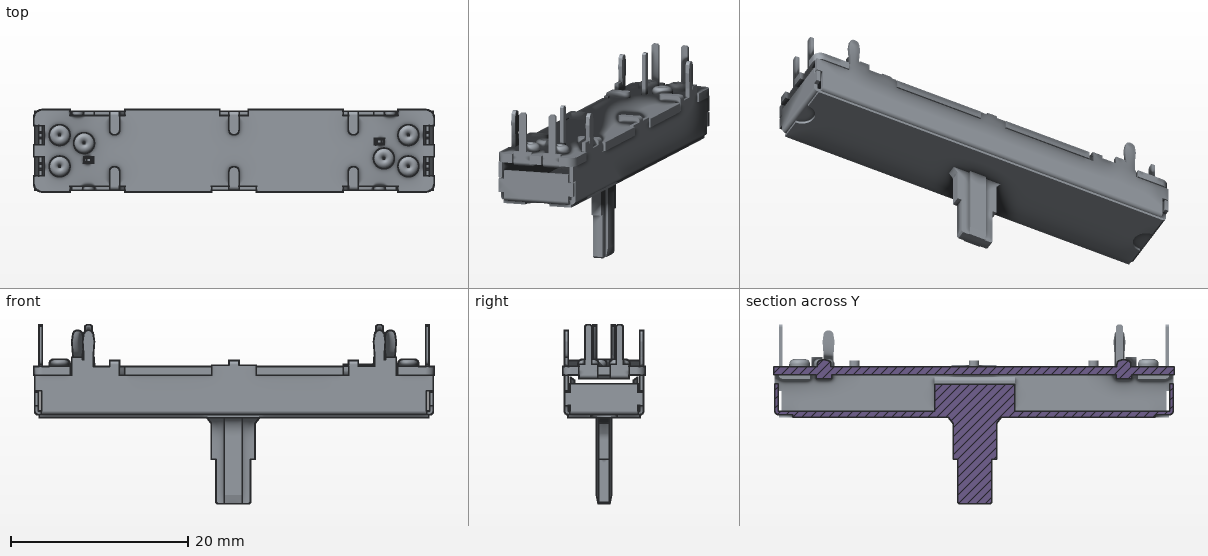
import cadquery as cq

BOARD_LENGTH = 45.2
BOARD_WIDTH = 9.3
BOARD_THICKNESS = 1.0
BOARD_CORNER_RADIUS = 1.0
EDGE_NOTCH_DEPTH = 0.7
END_NOTCH_DEPTH = 1.18

SHEET = 0.45
HOUSING_LENGTH = 44.97
HOUSING_WIDTH = 8.95
HOUSING_BOTTOM = -5.45
HOUSING_BEND_RADIUS = 0.45
END_WALL_TOP = -1.95
END_WALL_WIDTH = 7.7
EAR_TOP = -2.9
EAR_BOTTOM = -4.45
CORNER_NOTCH_TOP = -2.75
CORNER_NOTCH_LENGTH = 0.75
BOTTOM_PLATE_LENGTH = 44.0
BOTTOM_PLATE_WIDTH = 8.15
BOTTOM_PLATE_THICKNESS = 0.3
BOTTOM_PLATE_NOTCH_RADIUS = 1.5

OUTER_CREST = (12.93, 18.3)
OUTER_NOTCH = (12.3, 18.5)
MIDDLE_CREST_TOP = 0.15
RAISED_CREST = (OUTER_NOTCH[0], 16.25)
RAISED_CREST_TOP = 0.23
FRONT_MIDDLE_WIDTH = 5.05
BACK_MIDDLE_WIDTH = 3.15
TAB_WIDTH = 1.15
TAB_TOP = 0.7
TAB_REACH = 1.8
TAB_BEND_RADIUS = 0.45
TAB_END_RADIUS = 0.5
OUTER_TAB_X = 13.45

FOOT_TOP = 4.05
FOOT_WIDTH = 1.35
FOOT_WIDEST = 2.8
NECK_WIDTH = 1.1
CROWN_WIDTH = 1.1
CROWN_BOTTOM = 3.7
SHOULDER_TOP = 1.05
SHOULDER_RELIEF = 0.15
SHOULDER_RELIEF_BOTTOM = 0.72
FRONT_FOOT_X = 16.4
BACK_FOOT_X = 17.65
SHOULDER_ENDS = (15.77, 18.3)

TERMINAL_THICKNESS = 0.4
TERMINAL_Y = 1.75
TERMINAL_BASE_WIDTH = 2.12
TERMINAL_BASE_TOP = 0.23
TERMINAL_FACE_X = 22.0
PIN_WIDTH = 0.8
PIN_TOP = 4.7
PIN_TIP_CHAMFER = 0.2
INNER_PIN_X = 16.4
INNER_PIN_Y = 1.05
INNER_PIN_SLOT = (1.15, 0.72)
INNER_PLATE_WIDTH = 1.8
RIVET_RADIUS = 1.18
RIVET_RIM = 0.25
RIVET_HOLE_RADIUS = 0.1
OUTER_RIVET_X = 19.65
INNER_RIVET_X = 16.9
INNER_RIVET_Y = 0.85

LEVER_X = -0.1
LEVER_BOTTOM = -15.5
LEVER_STEP = -10.5
LEVER_UPPER_WIDTH = 4.95
LEVER_LOWER_WIDTH = 3.95
LEVER_FLARE_WIDTH = 5.95
LEVER_FLARE_BOTTOM = -6.4
LEVER_THICKNESS = 1.15
LEVER_END_CHAMFER = 0.2
RIB_WIDTH = 2.05
RIB_THICKNESS = 1.7
RIB_TAPER_START = -14.5
RIB_END_THICKNESS = 1.3
CARRIAGE_LENGTH = 9.05
CARRIAGE_WIDTH = 7.6
CARRIAGE_TOP = -2.0
CARRIAGE_EAR_TOP = -1.2
CARRIAGE_EAR_WIDTH = 0.5
CARRIAGE_EAR_SLOPE = 0.35

BOARD_BOTTOM = -BOARD_THICKNESS
PLATE_BOTTOM = HOUSING_BOTTOM - BOTTOM_PLATE_THICKNESS
FLOOR_TOP = HOUSING_BOTTOM + SHEET
WALL_Y = HOUSING_WIDTH / 2
END_X = HOUSING_LENGTH / 2


def block(x_range, y_range, z_range):
    """Box spanning the given ranges; the ends of each range may come in either order."""
    spans = [sorted(values) for values in (x_range, y_range, z_range)]
    size = [high - low for low, high in spans]
    corner = [low for low, high in spans]
    return cq.Workplane("XY").box(*size, centered=False).translate(tuple(corner))


def centered_block(length, width, z_range):
    return block((-length / 2, length / 2), (-width / 2, width / 2), z_range)


def mirror_range(values, side):
    return tuple(side * value for value in values)


def wall_range(side):
    """Y range of the sheet in the long wall on the given side."""
    return (side * (WALL_Y - SHEET), side * WALL_Y)


def make_board():
    board = centered_block(BOARD_LENGTH, BOARD_WIDTH, (BOARD_BOTTOM, 0))
    board = board.edges("|Z").fillet(BOARD_CORNER_RADIUS)
    depth = (BOARD_BOTTOM, 0)
    for side in (-1, 1):
        notch_y = (side * (BOARD_WIDTH / 2 - EDGE_NOTCH_DEPTH), side * BOARD_WIDTH / 2)
        middle = (FRONT_MIDDLE_WIDTH if side < 0 else BACK_MIDDLE_WIDTH) / 2
        board = board.cut(block((-middle, middle), notch_y, depth))
        for end in (-1, 1):
            board = board.cut(block(mirror_range(OUTER_NOTCH, end), notch_y, depth))
            notch_x = (end * (BOARD_LENGTH / 2 - END_NOTCH_DEPTH), end * BOARD_LENGTH / 2)
            base = TERMINAL_BASE_WIDTH / 2
            terminal_y = (side * TERMINAL_Y - base, side * TERMINAL_Y + base)
            board = board.cut(block(notch_x, terminal_y, depth))
    for end in (-1, 1):
        slot = cq.Workplane("XY").rect(*INNER_PIN_SLOT).extrude(BOARD_BOTTOM)
        board = board.cut(slot.translate((end * INNER_PIN_X, end * INNER_PIN_Y, 0)))
    return board


def make_housing():
    housing = centered_block(HOUSING_LENGTH, HOUSING_WIDTH, (HOUSING_BOTTOM, BOARD_BOTTOM))
    housing = housing.faces("<Z").edges().fillet(HOUSING_BEND_RADIUS)
    cavity_length = HOUSING_LENGTH - 2 * SHEET
    cavity_width = HOUSING_WIDTH - 2 * SHEET
    housing = housing.cut(centered_block(cavity_length, cavity_width, (FLOOR_TOP, BOARD_BOTTOM)))
    housing = housing.cut(centered_block(HOUSING_LENGTH, cavity_width, (END_WALL_TOP, BOARD_BOTTOM)))
    for end in (-1, 1):
        wall_x = (end * (END_X - SHEET), end * END_X)
        notch_x = (end * (END_X - CORNER_NOTCH_LENGTH), end * END_X)
        for side in (-1, 1):
            gap_y = (side * END_WALL_WIDTH / 2, side * (WALL_Y - SHEET))
            housing = housing.cut(block(wall_x, gap_y, (HOUSING_BOTTOM, BOARD_BOTTOM)))
            notch_y = (side * END_WALL_WIDTH / 2, side * WALL_Y)
            housing = housing.cut(block(notch_x, notch_y, (HOUSING_BOTTOM, CORNER_NOTCH_TOP)))
        housing = housing.union(block(wall_x, (-WALL_Y, WALL_Y), (EAR_BOTTOM, EAR_TOP)))
    plate = centered_block(BOTTOM_PLATE_LENGTH, BOTTOM_PLATE_WIDTH, (PLATE_BOTTOM, HOUSING_BOTTOM))
    end_notches = (
        cq.Workplane("XY")
        .workplane(offset=PLATE_BOTTOM)
        .pushPoints([(-BOTTOM_PLATE_LENGTH / 2, 0), (BOTTOM_PLATE_LENGTH / 2, 0)])
        .circle(BOTTOM_PLATE_NOTCH_RADIUS)
        .extrude(BOTTOM_PLATE_THICKNESS)
    )
    return housing.union(plate.cut(end_notches))


def make_tab(x, side):
    """Tab rising from a wall crest and folded inward onto the board, with a round end."""
    length = WALL_Y - TAB_REACH
    tab = (
        cq.Workplane("XY")
        .rect(TAB_WIDTH, length)
        .extrude(TAB_TOP)
        .edges("|Z and >Y")
        .fillet(TAB_END_RADIUS)
        .faces("<Y")
        .edges(">Z")
        .fillet(TAB_BEND_RADIUS)
        .translate((0, length / 2 - WALL_Y, 0))
    )
    if side > 0:
        tab = tab.mirror("XZ")
    return tab.translate((x, 0, 0))


def make_foot(x, side):
    """Round-topped snap-in foot standing on a crest, tapering out from its neck to its widest level."""
    neck = NECK_WIDTH / 2
    bulge = FOOT_WIDTH / 2
    crown = CROWN_WIDTH / 2
    foot = (
        cq.Workplane("XZ")
        .moveTo(-neck, BOARD_BOTTOM)
        .lineTo(-neck, SHOULDER_TOP)
        .lineTo(-bulge, FOOT_WIDEST)
        .lineTo(-crown, CROWN_BOTTOM)
        .threePointArc((0, FOOT_TOP), (crown, CROWN_BOTTOM))
        .lineTo(bulge, FOOT_WIDEST)
        .lineTo(neck, SHOULDER_TOP)
        .lineTo(neck, BOARD_BOTTOM)
        .close()
        .extrude(-SHEET)
    )
    return foot.translate((x, min(wall_range(side)), 0))


def make_shoulder(foot_x, side, end):
    """Raised part of the crest beside a foot, parted from its neck by a narrow relief."""
    direction = -side
    outer = SHOULDER_ENDS[1] if direction > 0 else SHOULDER_ENDS[0]
    neck_edge = foot_x + direction * NECK_WIDTH / 2
    shoulder_x = mirror_range((neck_edge, outer), end)
    relief_x = mirror_range((neck_edge, neck_edge + direction * SHOULDER_RELIEF), end)
    shoulder = block(shoulder_x, wall_range(side), (BOARD_BOTTOM, SHOULDER_TOP))
    return shoulder.cut(block(relief_x, wall_range(side), (SHOULDER_RELIEF_BOTTOM, SHOULDER_TOP)))


def make_crests():
    """All wall parts that rise through the edge notches: crests, tabs, feet and shoulders."""
    crests = cq.Workplane("XY")
    for side in (-1, 1):
        middle = (FRONT_MIDDLE_WIDTH if side < 0 else BACK_MIDDLE_WIDTH) / 2
        crests = crests.union(block((-middle, middle), wall_range(side), (BOARD_BOTTOM, MIDDLE_CREST_TOP)))
        crests = crests.union(make_tab(0, side))
        foot_x = FRONT_FOOT_X if side < 0 else BACK_FOOT_X
        for end in (-1, 1):
            crest_x = mirror_range(OUTER_CREST, end)
            crests = crests.union(block(crest_x, wall_range(side), (BOARD_BOTTOM, 0)))
            crests = crests.union(make_tab(end * OUTER_TAB_X, side))
            crests = crests.union(make_foot(end * foot_x, side))
            crests = crests.union(make_shoulder(foot_x, side, end))
    raised_crest = block(RAISED_CREST, wall_range(1), (BOARD_BOTTOM, RAISED_CREST_TOP))
    return crests.union(raised_crest)


def make_rivet(x, y):
    """Rolled rivet head: a straight rim under a half-round ring with a small eye."""
    ring_middle = (RIVET_RADIUS + RIVET_HOLE_RADIUS) / 2
    ring_top = RIVET_RIM + (RIVET_RADIUS - RIVET_HOLE_RADIUS) / 2
    profile = (
        cq.Workplane("XZ")
        .moveTo(0, BOARD_BOTTOM)
        .lineTo(RIVET_RADIUS, BOARD_BOTTOM)
        .lineTo(RIVET_RADIUS, RIVET_RIM)
        .threePointArc((ring_middle, ring_top), (RIVET_HOLE_RADIUS, RIVET_RIM))
        .lineTo(0, RIVET_RIM)
        .close()
    )
    return profile.revolve(360, (0, 0, 0), (0, 1, 0)).translate((x, y, 0))


def make_pin(x_size, y_size, chamfered_edges):
    pin = cq.Workplane("XY").workplane(offset=BOARD_BOTTOM).rect(x_size, y_size)
    pin = pin.extrude(PIN_TOP - BOARD_BOTTOM)
    return pin.faces(">Z").edges(chamfered_edges).chamfer(PIN_TIP_CHAMFER)


def make_end_terminal(side):
    """Terminal of the +X end: blade in its end notch, bent under the board to its rivet."""
    under = BOARD_BOTTOM - TERMINAL_THICKNESS
    base = TERMINAL_BASE_WIDTH / 2
    inner_x = TERMINAL_FACE_X - TERMINAL_THICKNESS
    base_y = (-base, base)
    upright = block((inner_x, TERMINAL_FACE_X), base_y, (under, TERMINAL_BASE_TOP))
    plate = block((OUTER_RIVET_X - RIVET_RADIUS, TERMINAL_FACE_X), base_y, (under, BOARD_BOTTOM))
    bent = upright.union(plate).edges("|Y and >X and <Z").fillet(TERMINAL_THICKNESS)
    pin = make_pin(TERMINAL_THICKNESS, PIN_WIDTH, "|X")
    pin = pin.translate((inner_x + TERMINAL_THICKNESS / 2, 0, 0))
    terminal = bent.union(pin).translate((0, side * TERMINAL_Y, 0))
    return terminal.union(make_rivet(OUTER_RIVET_X, side * TERMINAL_Y))


def make_inner_terminal():
    """Third terminal of the +X end: pin through a slot, linked to its rivet under the board."""
    plate_x = (INNER_RIVET_X - INNER_PLATE_WIDTH / 2, INNER_RIVET_X + INNER_PLATE_WIDTH / 2)
    plate_y = (-INNER_RIVET_Y - RIVET_RADIUS, INNER_PIN_Y + INNER_PIN_SLOT[1] / 2)
    plate = block(plate_x, plate_y, (BOARD_BOTTOM - TERMINAL_THICKNESS, BOARD_BOTTOM))
    pin = make_pin(PIN_WIDTH, TERMINAL_THICKNESS, "|Y").translate((INNER_PIN_X, INNER_PIN_Y, 0))
    return plate.union(pin).union(make_rivet(INNER_RIVET_X, -INNER_RIVET_Y))


def make_terminals():
    one_end = make_inner_terminal()
    for side in (-1, 1):
        one_end = one_end.union(make_end_terminal(side))
    return one_end.union(one_end.rotate((0, 0, 0), (0, 0, 1), 180))


def make_lever():
    upper = LEVER_UPPER_WIDTH / 2
    lower = LEVER_LOWER_WIDTH / 2
    flare = LEVER_FLARE_WIDTH / 2
    tip = lower - LEVER_END_CHAMFER
    right_edge = [
        (flare, HOUSING_BOTTOM),
        (flare, PLATE_BOTTOM),
        (upper, LEVER_FLARE_BOTTOM),
        (upper, LEVER_STEP),
        (lower, LEVER_STEP),
        (lower, LEVER_BOTTOM + LEVER_END_CHAMFER),
        (tip, LEVER_BOTTOM),
    ]
    left_edge = [(-x, z) for x, z in reversed(right_edge)]
    body = cq.Workplane("XZ").polyline(right_edge + left_edge).close()
    body = body.extrude(LEVER_THICKNESS / 2, both=True)

    rib = RIB_THICKNESS / 2
    rib_end = RIB_END_THICKNESS / 2
    rib_outline = [
        (-rib, HOUSING_BOTTOM),
        (rib, HOUSING_BOTTOM),
        (rib, RIB_TAPER_START),
        (rib_end, LEVER_BOTTOM),
        (-rib_end, LEVER_BOTTOM),
        (-rib, RIB_TAPER_START),
    ]
    ribs = cq.Workplane("YZ").polyline(rib_outline).close().extrude(RIB_WIDTH / 2, both=True)
    return body.union(ribs).translate((LEVER_X, 0, 0))


def make_carriage():
    """Block on the housing floor with two sloped ears along its long sides."""
    half = CARRIAGE_WIDTH / 2
    ear = half - CARRIAGE_EAR_WIDTH
    right_half = [
        (half, FLOOR_TOP),
        (half, CARRIAGE_EAR_TOP),
        (ear, CARRIAGE_EAR_TOP - CARRIAGE_EAR_SLOPE),
        (ear, CARRIAGE_TOP),
    ]
    left_half = [(-y, z) for y, z in reversed(right_half)]
    outline = cq.Workplane("YZ").polyline(right_half + left_half).close()
    return outline.extrude(CARRIAGE_LENGTH / 2, both=True).translate((LEVER_X, 0, 0))


result = (
    make_housing()
    .union(make_board())
    .union(make_crests())
    .union(make_terminals())
    .union(make_lever())
    .union(make_carriage())
)